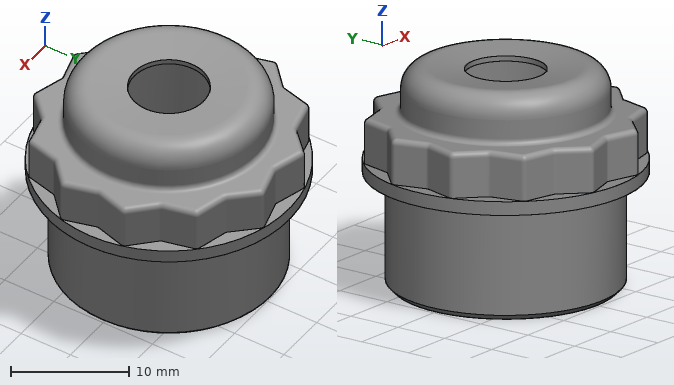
import cadquery as cq
import math

flange_diameter = 24.27
tube_diameter = 20.4
dome_diameter = 17.8
hole_diameter = 7.0
bore_mouth_diameter = 15.12

tube_height = 10.0
flange_thickness = 1.21
grip_height = 3.98
total_height = 19.4

edge_radius = 0.5
dome_radius = 2.01
tube_chamfer = 0.5

lobe_count = 12
tip_radius = flange_diameter / 2
valley_depth = 1.3

dish_angle = math.radians(5.0)
lip_thickness = 0.45
bore_draft = math.radians(0.5)

flange_top = tube_height + flange_thickness
grip_top = flange_top + grip_height
dome_wall = dome_diameter / 2
hole_radius = hole_diameter / 2
crown_center_r = dome_wall - dome_radius
crown_center_z = total_height - dome_radius
dish_edge_r = crown_center_r - dome_radius * math.sin(dish_angle)
dish_edge_z = crown_center_z + dome_radius * math.cos(dish_angle)


def dish_height(radius):
    """Height of the dished top face at a distance from the axis."""
    return dish_edge_z - (dish_edge_r - radius) * math.tan(dish_angle)


def make_tube():
    """Round tube with a chamfered lower edge."""
    tube = cq.Workplane("XY").circle(tube_diameter / 2).extrude(tube_height)
    return tube.faces("<Z").chamfer(tube_chamfer)


def make_flange():
    """Thin round flange on top of the tube."""
    base = cq.Workplane("XY", origin=(0, 0, tube_height))
    return base.circle(flange_diameter / 2).extrude(flange_thickness)


def star_points():
    """Alternating valley and tip corners of the grip, starting with a valley on +X."""
    valley_radius = tip_radius - valley_depth
    points = []
    for index in range(2 * lobe_count):
        radius = tip_radius if index % 2 else valley_radius
        angle = index * math.pi / lobe_count
        points.append((radius * math.cos(angle), radius * math.sin(angle)))
    return points


def make_grip():
    """Star prism with rounded tips, rounded valleys and a rounded top edge."""
    base = cq.Workplane("XY", origin=(0, 0, flange_top))
    grip = base.polyline(star_points()).close().extrude(grip_height)
    grip = grip.edges("|Z").fillet(edge_radius)
    return grip.faces(">Z").edges().fillet(edge_radius)


def make_dome():
    """Domed cap with a dished top and a concave fillet where it meets the grip."""
    foot_r = dome_wall + edge_radius
    foot_mid_offset = edge_radius * (1 - math.sqrt(0.5))
    foot_mid = (dome_wall + foot_mid_offset, grip_top + foot_mid_offset)
    crown_mid_offset = dome_radius * math.sqrt(0.5)
    crown_mid = (crown_center_r + crown_mid_offset, crown_center_z + crown_mid_offset)
    profile = (
        cq.Workplane("XZ")
        .moveTo(0, flange_top)
        .lineTo(foot_r, flange_top)
        .lineTo(foot_r, grip_top)
        .threePointArc(foot_mid, (dome_wall, grip_top + edge_radius))
        .lineTo(dome_wall, crown_center_z)
        .threePointArc(crown_mid, (dish_edge_r, dish_edge_z))
        .lineTo(0, dish_height(0))
        .close()
    )
    return profile.revolve(360, (0, 0, 0), (0, 1, 0))


def make_cavity():
    """Slightly tapered bore from the open end, with a smaller hole through the top."""
    bore_depth = dish_height(hole_radius) - lip_thickness
    mouth_radius = bore_mouth_diameter / 2
    end_radius = mouth_radius - bore_depth * math.tan(bore_draft)
    profile = (
        cq.Workplane("YZ")
        .moveTo(0, 0)
        .lineTo(mouth_radius, 0)
        .lineTo(end_radius, bore_depth)
        .lineTo(hole_radius, bore_depth)
        .lineTo(hole_radius, total_height)
        .lineTo(0, total_height)
        .close()
    )
    return profile.revolve(360, (0, 0, 0), (0, 1, 0))


body = make_tube().union(make_flange()).union(make_grip()).union(make_dome())
result = body.cut(make_cavity())